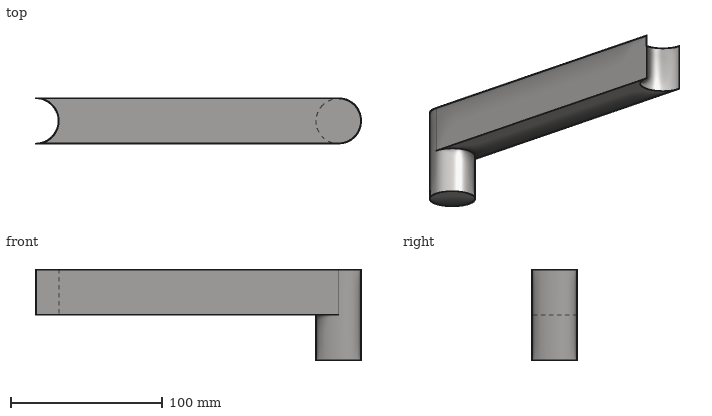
import cadquery as cq

overall_length = 215.0
overall_height = 60.0

arm_height = overall_height / 2
peg_height = overall_height - arm_height
arm_width = arm_height
end_radius = arm_width / 2
peg_center_x = overall_length - end_radius


def make_arm():
    """Straight arm with a concave half-round at one end and a convex one at the other."""
    return (
        cq.Workplane("XY")
        .moveTo(0, -end_radius)
        .lineTo(peg_center_x, -end_radius)
        .threePointArc((overall_length, 0), (peg_center_x, end_radius))
        .lineTo(0, end_radius)
        .threePointArc((end_radius, 0), (0, -end_radius))
        .close()
        .extrude(arm_height)
    )


def make_peg():
    """Round peg hanging below the arm, concentric with its convex end."""
    return cq.Workplane("XY").center(peg_center_x, 0).circle(end_radius).extrude(-peg_height)


result = make_arm().union(make_peg())